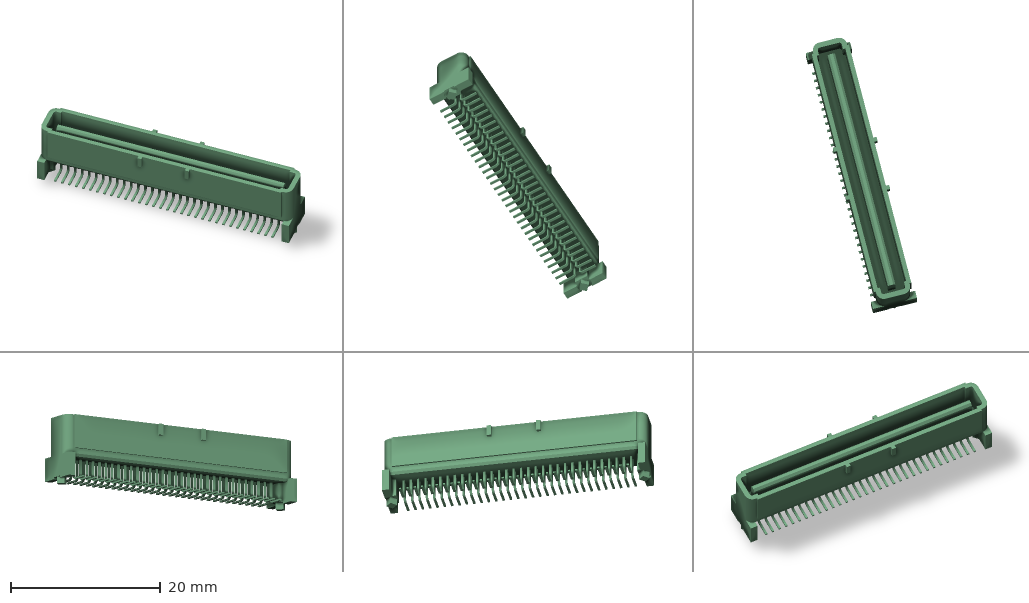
import cadquery as cq
import math


length = 35.9
shroud_width = 4.65
corner_radius = 1.08
shoulder_z = -5.28
underside_z = -5.65
underside_flat_width = 4.2
skirt_length = 33.4
skirt_width = 5.15
skirt_bottom_z = -4.52

cavity_length = 34.55
cavity_width = 3.3
cavity_corner_radius = 0.32
cavity_floor_z = -4.52
bay_length = 32.6
bay_width = 3.95
tongue_length = 32.38
tongue_width = 1.0
tongue_top_width = 0.43
tongue_top_z = -0.83
tongue_bevel_height = 0.32

rib_spacing = 6.75
rib_width = 0.57
rib_span = 6.03
rib_height = 1.5

seat_z = -8.45
plate_thickness = 1.0
plate_width = 6.05
block_reach = 0.55
block_width = 1.85
recess_radius = 1.08
recess_depth = 0.25
peg_diagonal = 1.47
peg_bottom_z = -9.12

pin_count = 32
pin_row_length = 31.0
pin_width = 0.3
pin_thickness = 0.2
pin_inner_radius = 0.35
pin_stem_y = 0.5
pin_tip_y = 2.8


def box_between(size_x, size_y, bottom_z, top_z, center_x=0.0):
    """Box centred on Y, spanning two heights."""
    return (
        cq.Workplane("XY")
        .workplane(offset=bottom_z)
        .center(center_x, 0)
        .rect(size_x, size_y)
        .extrude(top_z - bottom_z)
    )


def make_shroud():
    """Rounded housing with raised side skirts and a tapered underside."""
    shell = box_between(length, shroud_width, shoulder_z, 0).edges("|Z").fillet(corner_radius)
    skirt = box_between(skirt_length, skirt_width, skirt_bottom_z, 0)
    base_length = length - 2 * plate_thickness
    base = (
        cq.Workplane("YZ")
        .polyline([
            (-shroud_width / 2, shoulder_z),
            (-underside_flat_width / 2, underside_z),
            (underside_flat_width / 2, underside_z),
            (shroud_width / 2, shoulder_z),
        ])
        .close()
        .extrude(base_length / 2, both=True)
    )
    return shell.union(skirt).union(base)


def make_cavity():
    """Mating cavity: a rounded well widened along its middle."""
    well = box_between(cavity_length, cavity_width, cavity_floor_z, 0)
    well = well.edges("|Z").fillet(cavity_corner_radius)
    return well.union(box_between(bay_length, bay_width, cavity_floor_z, 0))


def make_tongue():
    """Central contact tongue with a bevelled top."""
    half_width = tongue_width / 2
    half_top = tongue_top_width / 2
    bevel_z = tongue_top_z - tongue_bevel_height
    return (
        cq.Workplane("YZ")
        .polyline([
            (-half_width, cavity_floor_z),
            (-half_width, bevel_z),
            (-half_top, tongue_top_z),
            (half_top, tongue_top_z),
            (half_width, bevel_z),
            (half_width, cavity_floor_z),
        ])
        .close()
        .extrude(tongue_length / 2, both=True)
    )


def make_ribs():
    """Pairs of short keying ribs; the cavity later removes their middles."""
    left = box_between(rib_width, rib_span, -rib_height, 0, -rib_spacing / 2)
    right = box_between(rib_width, rib_span, -rib_height, 0, rib_spacing / 2)
    return left.union(right)


def make_end(side):
    """End plate with its block, recess and diamond peg; side is -1 or +1."""
    plate_x = side * (length - plate_thickness) / 2
    block_depth = plate_thickness + block_reach
    block_x = side * (length - block_depth) / 2
    peg_x = side * (length - peg_diagonal) / 2
    recess_top_z = seat_z + recess_depth

    plate = box_between(plate_thickness, plate_width, seat_z, shoulder_z, plate_x)
    block = box_between(block_depth, block_width, recess_top_z, shoulder_z, block_x)
    recess = (
        cq.Workplane("XY")
        .workplane(offset=seat_z)
        .center(peg_x, 0)
        .circle(recess_radius)
        .extrude(recess_depth)
    )
    peg = (
        cq.Workplane("XY")
        .workplane(offset=peg_bottom_z)
        .center(peg_x, 0)
        .polygon(4, peg_diagonal)
        .extrude(recess_top_z - peg_bottom_z)
    )
    return plate.union(block).cut(recess).union(peg)


def make_pin(x, side):
    """Gull-wing pin: vertical stem, round bend, flat foot; side is -1 or +1 in Y."""
    outer_radius = pin_inner_radius + pin_thickness
    stem_top_z = underside_z + pin_thickness
    bend_z = seat_z + outer_radius
    bend_y = pin_stem_y + pin_inner_radius
    foot_top_z = seat_z + pin_thickness
    diagonal = math.cos(math.radians(45))
    inner_mid = (bend_y - pin_inner_radius * diagonal, bend_z - pin_inner_radius * diagonal)
    outer_mid = (bend_y - outer_radius * diagonal, bend_z - outer_radius * diagonal)
    pin = (
        cq.Workplane("YZ")
        .moveTo(pin_stem_y, stem_top_z)
        .lineTo(pin_stem_y, bend_z)
        .threePointArc(inner_mid, (bend_y, foot_top_z))
        .lineTo(pin_tip_y, foot_top_z)
        .lineTo(pin_tip_y, seat_z)
        .lineTo(bend_y, seat_z)
        .threePointArc(outer_mid, (pin_stem_y - pin_thickness, bend_z))
        .lineTo(pin_stem_y - pin_thickness, stem_top_z)
        .close()
        .extrude(pin_width / 2, both=True)
    )
    if side < 0:
        pin = pin.mirror("XZ")
    return pin.translate((x, 0, 0))


body = make_shroud().union(make_ribs()).cut(make_cavity()).union(make_tongue())
for end_side in (-1, 1):
    body = body.union(make_end(end_side))

pin_pitch = pin_row_length / (pin_count - 1)
pins = [
    make_pin(-pin_row_length / 2 + index * pin_pitch, pin_side).val()
    for index in range(pin_count)
    for pin_side in (-1, 1)
]
result = cq.Workplane(body.val().fuse(*pins))